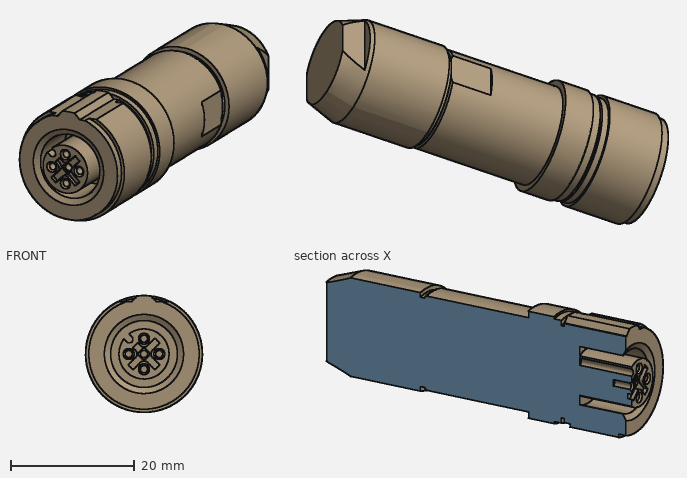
import cadquery as cq
import math

length = 59.0

nut_front = 1.1
nut_back = 13.1
nut_shoulder_radius = 8.95
grip_radius = 9.5
grip_front = 2.55
grip_back = 12.0

neck_radius = 8.25
flange_front = 13.55
flange_step = 15.0
flange_back = 20.0
flange_lip_radius = 9.15
flange_radius = grip_radius

body_radius = 8.45
body_back = 40.0
body_chamfer = 0.3
groove_radius = 8.0

cap_front = 40.75
cap_radius = 8.8
taper_start = 54.3
cap_end_radius = 7.15
cap_strip_width = 1.95

cap_flat_offset = 6.55
cap_flat_length = 4.0
body_flat_offset = 7.9
body_flat_front = 32.8

notch_floor = 8.45
rib_top_width = 2.25
rib_base_width = 4.15

mouth_radius = 6.45
cavity_radius = 5.4
mouth_taper_depth = 0.6
cavity_back = 10.05

insert_radius = 4.1
keyway_radius = 0.6
keyway_offset = 3.35
keyway_angle = 45.0
outer_contact_count = 4
contact_offset = 2.5
contact_radius = 0.6
contact_flare_radius = 0.9
contact_flare_depth = 0.35
contact_depth = 3.55

slot_width = 1.1
slot_reach = 3.05
short_slot_reach = 2.0
slot_depth = 0.75
slot_corner_radius = 0.8
centre_pocket_width = 1.55
centre_pocket_depth = 1.2

margin = 0.6


def cylinder_y(radius, front, back, x=0.0, z=0.0):
    """Solid cylinder along Y between two stations."""
    return cq.Workplane("XZ", origin=(x, front, z)).circle(radius).extrude(front - back)


def box_between(x_limits, y_limits, z_limits):
    """Box given by its lower and upper limit along each axis."""
    spans = [high - low for low, high in (x_limits, y_limits, z_limits)]
    corner = (x_limits[0], y_limits[0], z_limits[0])
    return cq.Workplane("XY").box(*spans, centered=False).translate(corner)


def revolve_profile(points):
    """Turn a (radius, y) outline around the Y axis."""
    return cq.Workplane("XY").polyline(points).close().revolve(360, (0, 0), (0, 1))


def turned_body():
    """Nut, flange, body tube and end cap as one revolved outline."""
    return revolve_profile([
        (0, nut_front),
        (nut_shoulder_radius, nut_front),
        (nut_shoulder_radius, grip_front),
        (grip_radius, grip_front),
        (grip_radius, grip_back),
        (nut_shoulder_radius, grip_back),
        (nut_shoulder_radius, nut_back),
        (neck_radius, nut_back),
        (neck_radius, flange_front),
        (flange_lip_radius, flange_front),
        (flange_lip_radius, flange_step),
        (flange_radius, flange_step),
        (flange_radius, flange_back),
        (body_radius, flange_back),
        (body_radius, body_back - body_chamfer),
        (body_radius - body_chamfer, body_back),
        (groove_radius, body_back),
        (groove_radius, cap_front),
        (cap_radius, cap_front),
        (cap_radius, taper_start),
        (cap_end_radius, length),
        (0, length),
    ])


def side_flats(offset, front, back):
    """Material outside a pair of flats at x = +offset and x = -offset."""
    reach = grip_radius + margin
    right = box_between((offset, reach), (front, back), (-reach, reach))
    return right.union(right.mirror("YZ"))


def cap_strips():
    """Material outside the narrow flat strips along the top and bottom of the cap and its taper."""
    sagitta = cap_radius - math.sqrt(cap_radius**2 - (cap_strip_width / 2)**2)
    reach = cap_radius + margin
    top = (
        cq.Workplane("YZ", origin=(-reach, 0, 0))
        .moveTo(cap_front, cap_radius - sagitta)
        .lineTo(taper_start, cap_radius - sagitta)
        .lineTo(length, cap_end_radius - sagitta)
        .lineTo(length, reach)
        .lineTo(cap_front, reach)
        .close()
        .extrude(2 * reach)
    )
    return top.union(top.mirror("XY"))


def notch_band():
    """Everything above the notch floor over the length of the nut."""
    reach = grip_radius + margin
    return box_between((-reach, reach), (nut_front, nut_back), (notch_floor, reach))


def key_rib():
    """Trapezoidal rib with a round crest, running the length of the nut."""
    rib_edge_height = math.sqrt(grip_radius**2 - (rib_top_width / 2)**2)
    outline = (
        cq.Workplane("XZ", origin=(0, nut_front, 0))
        .moveTo(-rib_base_width / 2, notch_floor)
        .lineTo(-rib_top_width / 2, rib_edge_height)
        .threePointArc((0, grip_radius), (rib_top_width / 2, rib_edge_height))
        .lineTo(rib_base_width / 2, notch_floor)
        .close()
    )
    return outline.extrude(nut_front - nut_back)


def socket_cavity():
    """Bore that surrounds the contact insert, with a tapered mouth."""
    return revolve_profile([
        (0, nut_front),
        (mouth_radius, nut_front),
        (cavity_radius, nut_front + mouth_taper_depth),
        (cavity_radius, cavity_back),
        (0, cavity_back),
    ])


def contact_bore():
    """Flared contact hole on the axis."""
    return revolve_profile([
        (0, 0),
        (contact_flare_radius, 0),
        (contact_radius, contact_flare_depth),
        (contact_radius, contact_depth),
        (0, contact_depth),
    ])


def crossed_slots():
    """Cross recess aligned with the keyway, whose neighbouring arm is shorter."""
    half = slot_width / 2
    depth_limits = (0, slot_depth)
    across = box_between((-short_slot_reach, slot_reach), depth_limits, (-half, half))
    upright = box_between((-half, half), depth_limits, (-slot_reach, slot_reach))
    cross = across.union(upright)
    inner_box = cq.selectors.BoxSelector(
        (-slot_width, -margin, -slot_width), (slot_width, slot_depth + margin, slot_width)
    )
    cross = cross.edges("|Y").edges(inner_box).fillet(slot_corner_radius)
    pocket = box_between(
        (-centre_pocket_width / 2, centre_pocket_width / 2),
        (0, centre_pocket_depth),
        (-centre_pocket_width / 2, centre_pocket_width / 2),
    )
    return cross.union(pocket).rotate((0, 0, 0), (0, 1, 0), keyway_angle)


def contact_insert():
    """Round insert with a keyway, crossed slots and five contact holes."""
    insert = cylinder_y(insert_radius, 0, cavity_back)
    keyway = cylinder_y(keyway_radius, 0, cavity_back, x=-keyway_offset).union(
        box_between(
            (-insert_radius - margin, -keyway_offset),
            (0, cavity_back),
            (-keyway_radius, keyway_radius),
        )
    )
    keyway = keyway.rotate((0, 0, 0), (0, 1, 0), keyway_angle)
    insert = insert.cut(keyway)
    insert = insert.cut(crossed_slots())
    insert = insert.cut(cylinder_y(contact_radius, 0, contact_depth))
    for index in range(outer_contact_count):
        angle = 2 * math.pi * index / outer_contact_count
        place = (contact_offset * math.cos(angle), 0, contact_offset * math.sin(angle))
        insert = insert.cut(contact_bore().translate(place))
    return insert


shell = turned_body()
shell = shell.cut(side_flats(cap_flat_offset, length - cap_flat_length, length))
shell = shell.cut(side_flats(body_flat_offset, body_flat_front, body_back))
shell = shell.cut(cap_strips())
shell = shell.cut(notch_band()).union(key_rib())
shell = shell.cut(socket_cavity())
result = shell.union(contact_insert())